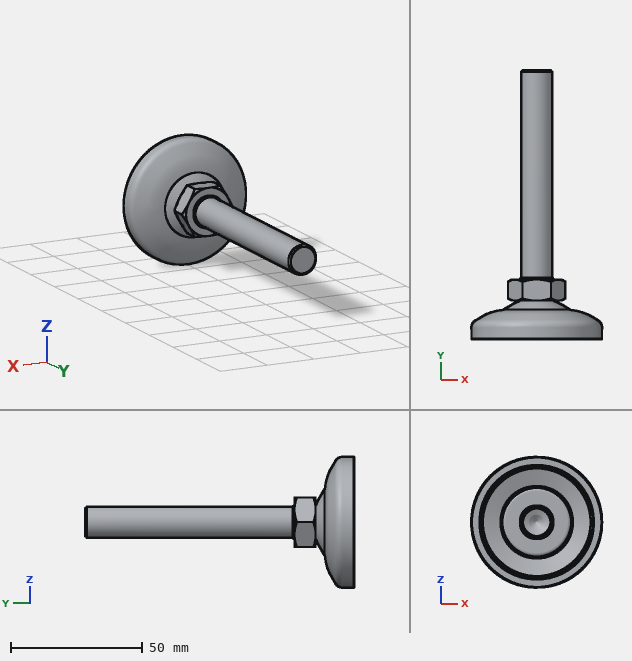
import cadquery as cq
import math


total_length = 102.6
rod_radius = 6.0
rod_end_chamfer = 0.7
hex_bottom = 14.8
hex_top = 22.8
hex_across_flats = 19.0
hex_chamfer_radius = 9.5
hex_chamfer_height = 0.8
collar_radius = 6.5
collar_top = 23.6
tail_end = 6.0
tail_edge_radius = 5.2
tail_edge_rise = 1.0
tail_dish_rise = 1.0
centre_mouth_radius = 2.8
centre_radius = 2.2
centre_bevel_rise = 0.5
centre_tip_rise = 1.6

foot_radius = 50.0 / 2
foot_edge_chamfer = 0.3
rim_height = 4.1
shoulder_radius = 23.3
shoulder_height = 7.3
shoulder_mid = (24.6, 6.0)
plate_radius = 12.7
plate_height = 11.3
plate_mid = (18.5, 10.0)
dome_root_radius = 12.0
dome_root_height = 11.8
dome_mid = (9.3, 13.4)
dome_top_radius = 6.3
bore_radius = 5.8
bore_chamfer = 0.6
hub_radius = 13.1
hub_edge_fillet = 1.3
hub_root_width = 0.7
hub_root_height = 2.1
roof_height = 7.9
cavity_mouth_chamfer = 0.5
cavity_wall_radius = 21.3
cavity_wall_height = 4.9
cavity_corner_radius = 20.5
cavity_corner_height = 5.6


def revolve_about_y(profile):
    return profile.close().revolve(360, (0, 0, 0), (0, 1, 0))


def make_hex():
    """Hexagon with corners on X and both faces chamfered by cones."""
    height = hex_top - hex_bottom
    corner_radius = hex_across_flats / 2 / math.cos(math.pi / 6)
    prism = (
        cq.Workplane("XZ", origin=(0, hex_bottom, 0))
        .polygon(6, 2 * corner_radius)
        .extrude(-height)
    )
    chamfer_envelope = revolve_about_y(
        cq.Workplane("XY")
        .moveTo(0, hex_bottom)
        .lineTo(hex_chamfer_radius, hex_bottom)
        .lineTo(corner_radius, hex_bottom + hex_chamfer_height)
        .lineTo(corner_radius, hex_top - hex_chamfer_height)
        .lineTo(hex_chamfer_radius, hex_top)
        .lineTo(0, hex_top)
    )
    return prism.intersect(chamfer_envelope)


def make_spindle():
    """Rod, conical collar and dished tail, joined to the hexagon."""
    dish_edge = tail_end + tail_edge_rise
    centre_mouth = dish_edge + tail_dish_rise
    centre_start = centre_mouth + centre_bevel_rise
    shaft = revolve_about_y(
        cq.Workplane("XY")
        .moveTo(0, centre_start + centre_tip_rise)
        .lineTo(centre_radius, centre_start)
        .lineTo(centre_mouth_radius, centre_mouth)
        .lineTo(tail_edge_radius, dish_edge)
        .lineTo(bore_radius, tail_end)
        .lineTo(bore_radius, hex_top)
        .lineTo(collar_radius, hex_top)
        .lineTo(rod_radius, collar_top)
        .lineTo(rod_radius, total_length - rod_end_chamfer)
        .lineTo(rod_radius - rod_end_chamfer, total_length)
        .lineTo(0, total_length)
    )
    return shaft.union(make_hex())


def make_foot():
    """Round hollow foot with a central hub, bored through for the spindle tail."""
    arc_middle = 1 - math.sqrt(0.5)
    hub_edge_mid = (hub_radius - hub_edge_fillet * arc_middle, hub_edge_fillet * arc_middle)
    hub_root_mid = (
        hub_radius + hub_root_width * arc_middle,
        roof_height - hub_root_height * arc_middle,
    )
    return revolve_about_y(
        cq.Workplane("XY")
        .moveTo(bore_radius, hex_bottom)
        .lineTo(bore_radius, bore_chamfer)
        .lineTo(bore_radius + bore_chamfer, 0)
        .lineTo(hub_radius - hub_edge_fillet, 0)
        .threePointArc(hub_edge_mid, (hub_radius, hub_edge_fillet))
        .lineTo(hub_radius, roof_height - hub_root_height)
        .threePointArc(hub_root_mid, (hub_radius + hub_root_width, roof_height))
        .lineTo(cavity_corner_radius, cavity_corner_height)
        .lineTo(cavity_wall_radius, cavity_wall_height)
        .lineTo(cavity_wall_radius, cavity_mouth_chamfer)
        .lineTo(cavity_wall_radius + cavity_mouth_chamfer, 0)
        .lineTo(foot_radius - foot_edge_chamfer, 0)
        .lineTo(foot_radius, foot_edge_chamfer)
        .lineTo(foot_radius, rim_height)
        .threePointArc(shoulder_mid, (shoulder_radius, shoulder_height))
        .threePointArc(plate_mid, (plate_radius, plate_height))
        .lineTo(dome_root_radius, dome_root_height)
        .threePointArc(dome_mid, (dome_top_radius, hex_bottom))
    )


spindle = make_spindle()
foot = make_foot()
result = cq.Compound.makeCompound([spindle.val(), foot.val()])